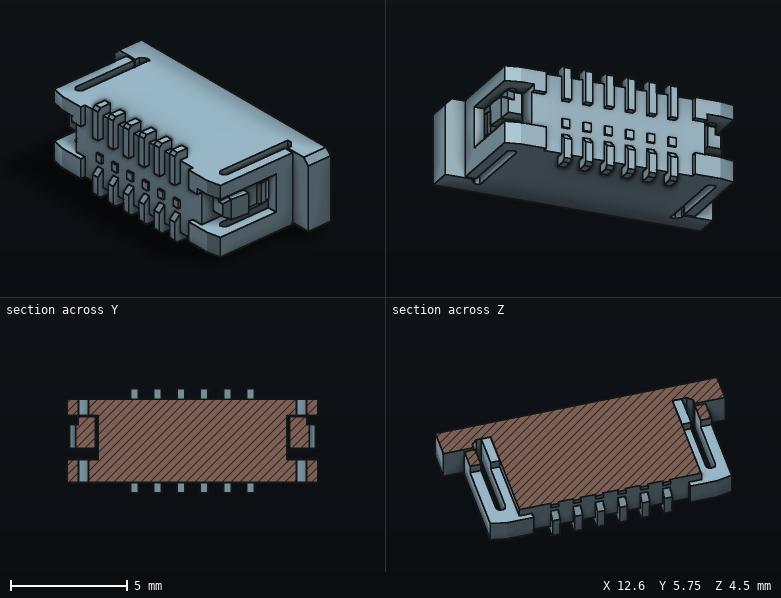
import cadquery as cq


HEIGHT = 3.6

HOUSING_HALF_WIDTH = 5.4
HOUSING_REAR = 1.4
FACE_DEPTH = 5.45
EAR_DEPTH = 5.7
EAR_BEVEL_WIDTH = 0.7
EAR_BEVEL_DEPTH = 0.15
EAR_INNER_X = 3.5
EAR_LIP_BOTTOM = 2.62

POCKET_REAR = 2.35
POCKET_INNER_X = 4.07
POCKET_BOTTOM = 1.0
POCKET_TOP = 2.9
CHANNEL_BOTTOM = 1.37

SLOT_OUTER_X = 4.9
SLOT_WIDTH = 0.42
SLOT_INNER_X = SLOT_OUTER_X - SLOT_WIDTH
SLOT_END = 4.89

ACTUATOR_HALF_WIDTH = 6.3
ACTUATOR_DEPTH = 1.3
ACTUATOR_CHAMFER = 0.3
NOTCH_HALF_WIDTH = 4.93
NOTCH_REAR = 0.87
NOTCH_CHAMFER = 0.22

ARM_OUTER_X = NOTCH_HALF_WIDTH
ARM_INNER_X = 4.18
ARM_BOTTOM = 1.48
ARM_TOP = 2.85
HOOK_TOP = 2.5
HOOK_REAR = 3.83
HOOK_REAR_X = 5.3
HOOK_FRONT_X = 5.2
TIP_REAR = 4.75
TIP_LENGTH = 0.31
TIP_INSET = 0.2
BUMP_DEPTHS = (2.35, 2.63, 2.89, 3.05)
BUMP_HEIGHT = 0.1

CONTACT_COUNT = 6
CONTACT_PITCH = 1.0
CONTACT_WIDTH = 0.34
CONTACT_FRONT = 5.75
CONTACT_REAR = 5.05
FOOT_HEIGHT = 0.45
CONTACT_CHAMFER = 0.15
UPPER_LEG_BOTTOM = 2.46
LOWER_LEG_TOP = 0.61
LOWER_LEG_RAMP_TOP = 0.91
STUB_FRONT = 5.55
STUB_BOTTOM = 1.21
STUB_TOP = 1.6


def block(x_range, depth_range, z_range):
    """Box between two X values, two depths and two heights."""
    size = [abs(b - a) for a, b in (x_range, depth_range, z_range)]
    corner = (min(x_range), -max(depth_range), min(z_range))
    return cq.Workplane("XY").box(*size, centered=False).translate(corner)


def plan_prism(points, z_bottom, z_top):
    """Prism with an (X, depth) outline between two heights."""
    outline = [(x, -depth) for x, depth in points]
    return cq.Workplane("XY").workplane(offset=z_bottom).polyline(outline).close().extrude(z_top - z_bottom)


def both_sides(shape):
    """Shape together with its mirror image across X = 0."""
    return shape.union(shape.mirror("YZ"))


def make_ears():
    """Left corner ears: bevelled end blocks below and above the pocket."""
    outline = [
        (-EAR_INNER_X, FACE_DEPTH),
        (-EAR_INNER_X, EAR_DEPTH),
        (-HOUSING_HALF_WIDTH + EAR_BEVEL_WIDTH, EAR_DEPTH),
        (-HOUSING_HALF_WIDTH, EAR_DEPTH - EAR_BEVEL_DEPTH),
        (-HOUSING_HALF_WIDTH, FACE_DEPTH),
    ]
    lower = plan_prism(outline, 0, POCKET_BOTTOM)
    upper = plan_prism(outline, POCKET_TOP, HEIGHT)
    lip = block((-POCKET_INNER_X, -EAR_INNER_X), (FACE_DEPTH, EAR_DEPTH), (EAR_LIP_BOTTOM, POCKET_TOP))
    return lower.union(upper).union(lip)


def make_slot():
    """Left slot through the full height, open at the rear with a round front end."""
    radius = SLOT_WIDTH / 2
    round_depth = SLOT_END - radius
    return (
        cq.Workplane("XY")
        .moveTo(-SLOT_OUTER_X, -NOTCH_REAR)
        .lineTo(-SLOT_OUTER_X, -round_depth)
        .threePointArc((-SLOT_OUTER_X + radius, -SLOT_END), (-SLOT_INNER_X, -round_depth))
        .lineTo(-SLOT_INNER_X, -NOTCH_REAR)
        .close()
        .extrude(HEIGHT)
    )


def make_housing():
    walls = block((-HOUSING_HALF_WIDTH, HOUSING_HALF_WIDTH), (HOUSING_REAR, FACE_DEPTH), (0, HEIGHT))
    tongue = block((-SLOT_INNER_X, SLOT_INNER_X), (NOTCH_REAR, FACE_DEPTH), (0, HEIGHT))
    pocket = block(
        (-HOUSING_HALF_WIDTH, -POCKET_INNER_X), (POCKET_REAR, FACE_DEPTH), (POCKET_BOTTOM, POCKET_TOP)
    )
    channel = block(
        (-SLOT_OUTER_X, -POCKET_INNER_X), (NOTCH_REAR, POCKET_REAR), (CHANNEL_BOTTOM, POCKET_TOP)
    )
    cuts = pocket.union(channel).union(make_slot())
    return walls.union(tongue).cut(both_sides(cuts)).union(both_sides(make_ears()))


def make_actuator():
    """Rear bar with chamfered upper ends and a front notch that receives the tongue."""
    bar = block((-ACTUATOR_HALF_WIDTH, ACTUATOR_HALF_WIDTH), (0, ACTUATOR_DEPTH), (0, HEIGHT))
    bar = bar.faces(">Z").edges("|Y").chamfer(ACTUATOR_CHAMFER)
    notch = block((-NOTCH_HALF_WIDTH, NOTCH_HALF_WIDTH), (NOTCH_REAR, ACTUATOR_DEPTH), (0, HEIGHT))
    notch = notch.faces(">Y").edges("|Z").chamfer(NOTCH_CHAMFER)
    return bar.cut(notch)


def arm_section(inset):
    """Stepped (X, Z) section of the left arm at its hook, shrunk all round by an inset."""
    left_hook = -HOOK_FRONT_X + inset
    left_beam = -ARM_OUTER_X + inset
    right = -ARM_INNER_X - inset
    bottom = ARM_BOTTOM + inset
    step = HOOK_TOP - inset
    top = ARM_TOP - inset
    return [
        (left_hook, bottom),
        (right, bottom),
        (right, top),
        (left_beam, top),
        (left_beam, step),
        (left_hook, step),
    ]


def make_arm():
    """Left latch arm with a rear bump, a side hook and a tapered tip."""
    beam = block((-ARM_OUTER_X, -ARM_INNER_X), (NOTCH_REAR, TIP_REAR), (ARM_BOTTOM, ARM_TOP))
    hook_outline = [
        (-ARM_INNER_X, HOOK_REAR),
        (-HOOK_REAR_X, HOOK_REAR),
        (-HOOK_FRONT_X, TIP_REAR),
        (-ARM_INNER_X, TIP_REAR),
    ]
    hook = plan_prism(hook_outline, ARM_BOTTOM, HOOK_TOP)
    foot_rear, crest_rear, crest_front, foot_front = BUMP_DEPTHS
    bump_outline = [
        (-ARM_INNER_X, foot_rear),
        (-ARM_OUTER_X, foot_rear),
        (-ARM_OUTER_X - BUMP_HEIGHT, crest_rear),
        (-ARM_OUTER_X - BUMP_HEIGHT, crest_front),
        (-ARM_OUTER_X, foot_front),
        (-ARM_INNER_X, foot_front),
    ]
    bump = plan_prism(bump_outline, ARM_BOTTOM, HOOK_TOP)
    tip = (
        cq.Workplane("XZ", origin=(0, -TIP_REAR, 0))
        .polyline(arm_section(0))
        .close()
        .workplane(offset=TIP_LENGTH)
        .polyline(arm_section(TIP_INSET))
        .close()
        .loft(ruled=True)
    )
    return beam.union(hook).union(bump).union(tip)


def contact_prism(points, x):
    """Strip of contact width centred on x, with a (depth, Z) side outline."""
    outline = [(-depth, z) for depth, z in points]
    start = x - CONTACT_WIDTH / 2
    return cq.Workplane("YZ", origin=(start, 0, 0)).polyline(outline).close().extrude(CONTACT_WIDTH)


def make_contact(x):
    """Upper and lower bent solder leads and the short stub between them."""
    top = HEIGHT + FOOT_HEIGHT
    upper = [
        (FACE_DEPTH, UPPER_LEG_BOTTOM),
        (CONTACT_FRONT, UPPER_LEG_BOTTOM),
        (CONTACT_FRONT, top - CONTACT_CHAMFER),
        (CONTACT_FRONT - CONTACT_CHAMFER, top),
        (CONTACT_REAR, top),
        (CONTACT_REAR, HEIGHT),
        (FACE_DEPTH, HEIGHT),
    ]
    bottom = -FOOT_HEIGHT
    lower = [
        (FACE_DEPTH, LOWER_LEG_RAMP_TOP),
        (CONTACT_FRONT, LOWER_LEG_TOP),
        (CONTACT_FRONT, bottom + CONTACT_CHAMFER),
        (CONTACT_FRONT - CONTACT_CHAMFER, bottom),
        (CONTACT_REAR, bottom),
        (CONTACT_REAR, 0),
        (FACE_DEPTH, 0),
    ]
    stub = [
        (FACE_DEPTH, STUB_BOTTOM),
        (STUB_FRONT, STUB_BOTTOM),
        (STUB_FRONT, STUB_TOP),
        (FACE_DEPTH, STUB_TOP),
    ]
    return contact_prism(upper, x).union(contact_prism(lower, x)).union(contact_prism(stub, x))


result = make_housing().union(make_actuator()).union(both_sides(make_arm()))
for index in range(CONTACT_COUNT):
    contact_x = (index - (CONTACT_COUNT - 1) / 2) * CONTACT_PITCH
    result = result.union(make_contact(contact_x))